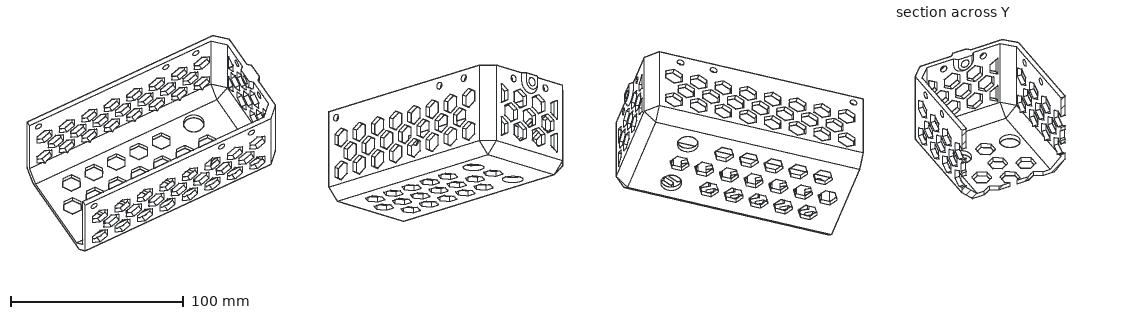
import cadquery as cq
import math

width = 68.0
length = 131.0
height = 53.0
wall = 3.0
corner_chamfer = 7.0

hex_across_flats = 10.0
hex_pitch = 15.0
hex_row_spacing = 10.0
hex_radius = hex_across_flats / 2 / math.cos(math.pi / 6)
side_hex_middle_z = 25.0
side_hex_outer_row_count = 8
side_hex_first_y = 10.0
back_hex_middle_z = 27.0
back_hex_outer_row_count = 4
back_hex_field_width = 45.5
floor_hex_center_count = 7
floor_hex_center_first_y = 11.0
floor_hex_side_count = 5
floor_hex_side_x = 14.5

screw_hole_diameter = 4.0
screw_hole_z = height - 5.0
side_screw_ys = (6.0, 91.0, 111.0)
back_screw_x = 13.0
cable_hole_diameter = 12.0
cable_hole_x = 16.0
cable_hole_y = floor_hex_center_first_y + (floor_hex_center_count - 1) * hex_pitch

boss_height = 2.0
boss_base_radius = 6.5
boss_tip_radius = boss_base_radius - boss_height
boss_hole_diameter = 5.0
boss_z = height - 4.5


def chamfered_block(x_size, y_back, z_bottom):
    """Block from the front to y_back with its bottom and back corner edges chamfered."""
    block = cq.Workplane("XY").box(x_size, y_back, height - z_bottom, centered=(True, False, False))
    block = block.translate((0, 0, z_bottom))
    edges = block.faces("<Z").edges("not <Y").add(block.faces(">Y").edges("|Z"))
    return edges.chamfer(corner_chamfer)


def make_shell():
    outer = chamfered_block(width, length, 0)
    cavity = chamfered_block(width - 2 * wall, length - wall, wall)
    return outer.cut(cavity)


def spaced(first, count):
    """Positions one hexagon pitch apart."""
    return [first + index * hex_pitch for index in range(count)]


def staggered_rows(first, outer_count, middle_z):
    """Three rows of centres; the middle row is shifted half a pitch and has one fewer."""
    outer = spaced(first, outer_count)
    middle = spaced(first + hex_pitch / 2, outer_count - 1)
    points = [(u, middle_z) for u in middle]
    for z in (middle_z - hex_row_spacing, middle_z + hex_row_spacing):
        points += [(u, z) for u in outer]
    return points


def xz_plane(y):
    """Vertical plane at y, local axes along X and Z."""
    return cq.Plane.named("XZ", origin=(0, y, 0))


def hexagon_prisms(plane, points, reach):
    """Prisms extending to both sides of the plane, vertices along its local Y axis."""
    angles = [math.radians(30 + 60 * index) for index in range(6)]
    prisms = cq.Workplane(plane)
    for u, v in points:
        outline = [(u + hex_radius * math.cos(a), v + hex_radius * math.sin(a)) for a in angles]
        prisms = prisms.polyline(outline).close()
    return prisms.extrude(reach, both=True)


def cylinders(plane, points, diameter, reach):
    """Cylinders extending to both sides of the plane."""
    return cq.Workplane(plane).pushPoints(points).circle(diameter / 2).extrude(reach, both=True)


def cut_side_walls(body):
    hex_points = staggered_rows(side_hex_first_y, side_hex_outer_row_count, side_hex_middle_z)
    screw_points = [(y, screw_hole_z) for y in side_screw_ys]
    body = body.cut(hexagon_prisms("YZ", hex_points, width))
    return body.cut(cylinders("YZ", screw_points, screw_hole_diameter, width))


def cut_floor(body):
    center_ys = spaced(floor_hex_center_first_y, floor_hex_center_count)
    side_ys = spaced(floor_hex_center_first_y + hex_pitch / 2, floor_hex_side_count)
    hex_points = [(0, y) for y in center_ys]
    for x in (-floor_hex_side_x, floor_hex_side_x):
        hex_points += [(x, y) for y in side_ys]
    cable_points = [(-cable_hole_x, cable_hole_y), (cable_hole_x, cable_hole_y)]
    body = body.cut(hexagon_prisms("XY", hex_points, 2 * wall))
    return body.cut(cylinders("XY", cable_points, cable_hole_diameter, 2 * wall))


def cut_back_wall(body):
    """Hexagons trimmed to the width of the field, and two screw holes."""
    back_plane = xz_plane(length)
    first_x = -(back_hex_outer_row_count - 1) * hex_pitch / 2
    hex_points = staggered_rows(first_x, back_hex_outer_row_count, back_hex_middle_z)
    reach = 2 * wall
    field = cq.Workplane(back_plane).center(0, height / 2).rect(back_hex_field_width, height)
    field = field.extrude(reach, both=True)
    body = body.cut(hexagon_prisms(back_plane, hex_points, reach).intersect(field))
    screw_points = [(-back_screw_x, screw_hole_z), (back_screw_x, screw_hole_z)]
    return body.cut(cylinders(back_plane, screw_points, screw_hole_diameter, reach))


def boss_outline(workplane, radius):
    """U shape around the boss hole, open side flush with the rim of the tray."""
    return (
        workplane.moveTo(-radius, height)
        .lineTo(-radius, boss_z)
        .threePointArc((0, boss_z - radius), (radius, boss_z))
        .lineTo(radius, height)
        .close()
    )


def tapered_boss(base_y, tip_y):
    base = cq.Workplane(xz_plane(base_y))
    base = boss_outline(base, boss_base_radius)
    tip = base.workplane(offset=base_y - tip_y)
    return boss_outline(tip, boss_tip_radius).loft(ruled=True)


def add_boss(body):
    """Bosses on the outer and inner face of the back wall, with a common through hole."""
    inner_face = length - wall
    body = body.union(tapered_boss(length, length + boss_height))
    body = body.union(tapered_boss(inner_face, inner_face - boss_height))
    reach = wall + 2 * boss_height
    return body.cut(cylinders(xz_plane(length), [(0, boss_z)], boss_hole_diameter, reach))


result = make_shell()
result = cut_side_walls(result)
result = cut_floor(result)
result = cut_back_wall(result)
result = add_boss(result)